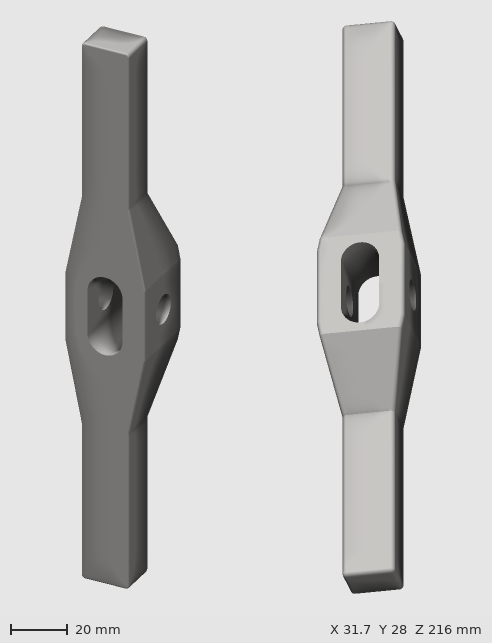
import cadquery as cq

length = 216.0
hub_width = 31.7
hub_depth = 28.0
arm_width = 19.0
arm_depth = 15.1

side_flat_half = 14.0
side_taper_end = 45.3
back_flat_half = 18.8
back_taper_end = 45.0

slot_width = 13.8
slot_length = 31.3
hole_diameter = 11.2
hole_y = hub_depth / 2

edge_radius = 1.5
flat_face_radius = 0.6


def width_outline():
    """Outline in XZ: a wide hub tapering to two narrow arms, cut from y = 0 to the back."""
    hub_x = hub_width / 2
    arm_x = arm_width / 2
    corner = [
        (arm_x, length / 2),
        (arm_x, side_taper_end),
        (hub_x, side_flat_half),
    ]
    right = corner + [(x, -z) for x, z in reversed(corner)]
    left = [(-x, z) for x, z in reversed(right)]
    return cq.Workplane("XZ").polyline(right + left).close().extrude(-hub_depth)


def depth_outline():
    """Outline in YZ: flat at y = 0, with a hub bulging out at the back."""
    corner = [
        (0, length / 2),
        (arm_depth, length / 2),
        (arm_depth, back_taper_end),
        (hub_depth, back_flat_half),
    ]
    points = corner + [(y, -z) for y, z in reversed(corner)]
    return cq.Workplane("YZ").polyline(points).close().extrude(hub_width / 2, both=True)


def slot():
    """Upright slot running from the flat face through the back."""
    return cq.Workplane("XZ").slot2D(slot_length, slot_width, 90).extrude(-hub_depth)


def cross_hole():
    """Round hole crossing the hub from side to side."""
    profile = cq.Workplane("YZ").center(hole_y, 0).circle(hole_diameter / 2)
    return profile.extrude(hub_width / 2, both=True)


body = width_outline().intersect(depth_outline())

outer_edges = body.edges(">Z or <Z or (not(|X or |Y))")
rounded = outer_edges.edges("not <Y").fillet(edge_radius)
rounded = rounded.faces("<Y").edges().fillet(flat_face_radius)

result = rounded.cut(slot()).cut(cross_hole())